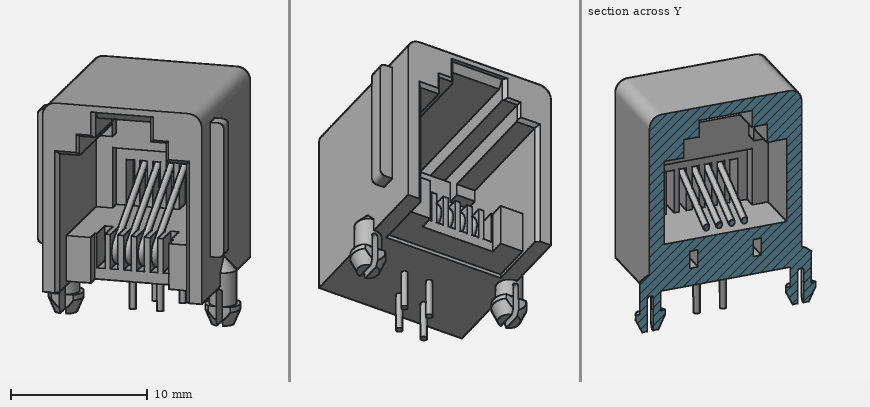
import cadquery as cq
import math


HOUSING_WIDTH = 12.15
HOUSING_DEPTH = 13.01
HOUSING_HEIGHT = 14.5
HOUSING_CORNER_RADIUS = 1.01

BODY_HALF_WIDTH, BODY_CEILING = 4.85, 10.57
SHOULDER_HALF_WIDTH, SHOULDER_CEILING = 3.31, 12.05
KEYWAY_HALF_WIDTH, KEYWAY_CEILING = 2.09, 13.4
BODY_LEAD_IN = 0.28
SHOULDER_LEAD_IN = 0.2
KEYWAY_LEAD_IN = 0.3

KEYWAY_MOUTH_CEILING = 14.02
KEYWAY_RAMP_LENGTH = 0.42

BACK_WALL_FRONT = 10.0
BACK_WALL_TOP = 11.38
RECESS_WIDTH = 7.17
RECESS_TOP = 8.43
RECESS_DEPTH = 1.0
STOP_BOTTOM = 9.58
STOP_FRONT = 9.01

BLOCK_FRONT = 2.05
BLOCK_TOP = 3.82
COMB_FRONT = 3.19
COMB_WIDTH = 5.96
UNDERCUT_HEIGHT = 0.34

SLOT_PITCH = 1.01
SLOT_BOTTOM = 1.2
SLOT_BACK = 5.27
SLOT_TOP_IN_WALL = 7.31
WIRE_SLOT_WIDTH = 0.57
SPARE_SLOT_WIDTH = 0.62
SPARE_WINDOW_BOTTOM = 1.47
SPARE_WINDOW_TOP = 2.81
WIRE_SLOT_END_WALL = 0.5

WIRE_COUNT = 4
WIRE_RADIUS = 0.25
WIRE_SLOPE = math.radians(27.5)
BEND_RADIUS = 0.85
BEND_CENTER_Y = 4.3
BEND_CENTER_Z = 2.42
WIRE_TIP_Y = 11.68
PIN_LENGTH = 3.2
PIN_ROWS = (8.28, 10.8)
PIN_OUTWARD_SHIFT = 0.04

RIB_SPAN = 14.2
RIB_FRONT = 2.28
RIB_THICKNESS = 1.22
RIB_BOTTOM = 3.01
RIB_TOP = 13.28
RIB_CORNER_RADIUS = 0.4

PEG_X = 5.98
PEG_Y = 5.98
PEG_RADIUS = 1.01
PEG_SHOULDER_Z = 1.01
PEG_APEX_Z = 2.15
HEAD_RADIUS = 1.31
HEAD_TOP_Z = -1.55
HEAD_RIM_Z = -1.96
HEAD_TIP_Z = -3.1
HEAD_TIP_RADIUS = 0.83
PEG_SLIT_WIDTH = 0.46
PEG_SLIT_TOP_Z = -0.25


def box(x_range, y_range, z_range):
    """Box given by its limits on each axis."""
    corner = (x_range[0], y_range[0], z_range[0])
    size = (x_range[1] - x_range[0], y_range[1] - y_range[0], z_range[1] - z_range[0])
    return cq.Workplane("XY").box(*size, centered=False).translate(corner)


def centered_box(x, width, y_range, z_range):
    """Box given by its middle and width on X and its limits on Y and Z."""
    return box((x - width / 2, x + width / 2), y_range, z_range)


def make_shell():
    shell = centered_box(0, HOUSING_WIDTH, (0, HOUSING_DEPTH), (0, HOUSING_HEIGHT))
    return shell.edges("|Y and >Z").fillet(HOUSING_CORNER_RADIUS)


def make_cavity_step(half_width, ceiling, lead_in):
    """One step of the cavity, open below, flared towards the mouth."""

    def rectangle(growth):
        x = half_width + growth
        z = ceiling + growth
        return [(-x, 0), (x, 0), (x, z), (-x, z)]

    flare = (
        cq.Workplane("XZ")
        .polyline(rectangle(lead_in))
        .close()
        .workplane(offset=-lead_in)
        .polyline(rectangle(0))
        .close()
        .loft(ruled=True)
    )
    bore = cq.Workplane("XZ").polyline(rectangle(0)).close().extrude(-HOUSING_DEPTH)
    return flare.union(bore)


def make_keyway():
    """Latch keyway: its sides flare at the mouth and its ceiling ramps down behind the flare."""
    keyway = centered_box(0, 2 * KEYWAY_HALF_WIDTH, (0, HOUSING_DEPTH), (0, KEYWAY_CEILING))
    mouth_plan = [
        (-KEYWAY_HALF_WIDTH - KEYWAY_LEAD_IN, 0),
        (KEYWAY_HALF_WIDTH + KEYWAY_LEAD_IN, 0),
        (KEYWAY_HALF_WIDTH, KEYWAY_LEAD_IN),
        (-KEYWAY_HALF_WIDTH, KEYWAY_LEAD_IN),
    ]
    mouth = cq.Workplane("XY").polyline(mouth_plan).close().extrude(KEYWAY_MOUTH_CEILING)
    ramp_profile = [
        (KEYWAY_LEAD_IN, 0),
        (KEYWAY_LEAD_IN, KEYWAY_MOUTH_CEILING),
        (KEYWAY_LEAD_IN + KEYWAY_RAMP_LENGTH, KEYWAY_CEILING),
        (KEYWAY_LEAD_IN + KEYWAY_RAMP_LENGTH, 0),
    ]
    ramp = (
        cq.Workplane("YZ").polyline(ramp_profile).close().extrude(KEYWAY_HALF_WIDTH, both=True)
    )
    return keyway.union(mouth).union(ramp)


def make_cavity():
    """Plug cavity through the whole housing."""
    body = make_cavity_step(BODY_HALF_WIDTH, BODY_CEILING, BODY_LEAD_IN)
    shoulder = make_cavity_step(SHOULDER_HALF_WIDTH, SHOULDER_CEILING, SHOULDER_LEAD_IN)
    return body.union(shoulder).union(make_keyway())


def make_back_wall():
    width = 2 * BODY_HALF_WIDTH
    wall = centered_box(0, width, (BACK_WALL_FRONT, HOUSING_DEPTH), (0, BODY_CEILING))
    neck = centered_box(
        0, 2 * SHOULDER_HALF_WIDTH, (BACK_WALL_FRONT, HOUSING_DEPTH), (0, BACK_WALL_TOP)
    )
    recess = centered_box(
        0, RECESS_WIDTH, (BACK_WALL_FRONT, BACK_WALL_FRONT + RECESS_DEPTH), (BLOCK_TOP, RECESS_TOP)
    )
    wall = wall.union(neck).cut(recess)
    for side in (-1, 1):
        x_range = sorted((side * SHOULDER_HALF_WIDTH, side * BODY_HALF_WIDTH))
        stop = box(x_range, (STOP_FRONT, BACK_WALL_FRONT), (STOP_BOTTOM, BODY_CEILING))
        wall = wall.union(stop)
    return wall


def make_contact_block():
    width = 2 * BODY_HALF_WIDTH
    block = centered_box(0, width, (BLOCK_FRONT, BACK_WALL_FRONT), (0, BLOCK_TOP))
    undercut = centered_box(0, width, (BLOCK_FRONT, SLOT_BACK), (0, UNDERCUT_HEIGHT))
    comb_pocket = centered_box(0, COMB_WIDTH, (BLOCK_FRONT, COMB_FRONT), (0, BLOCK_TOP))
    return block.cut(undercut).cut(comb_pocket)


def make_slot(x, width, wall_slot_back):
    """Slot in the comb plus the matching slot in the back wall above it."""
    comb_slot = centered_box(x, width, (COMB_FRONT, SLOT_BACK), (SLOT_BOTTOM, BLOCK_TOP))
    wall_slot = centered_box(
        x, width, (BACK_WALL_FRONT, wall_slot_back), (BLOCK_TOP, SLOT_TOP_IN_WALL)
    )
    return comb_slot.union(wall_slot)


def make_spare_slot(x):
    """Slot without a wire: it opens to the back, above and through the block."""
    window = centered_box(
        x, SPARE_SLOT_WIDTH, (SLOT_BACK, HOUSING_DEPTH), (SPARE_WINDOW_BOTTOM, SPARE_WINDOW_TOP)
    )
    return make_slot(x, SPARE_SLOT_WIDTH, HOUSING_DEPTH).union(window)


def make_contact(x, pin_y):
    """Sloping contact wire, hairpin bend, buried run to the back, and solder pin."""

    def on_bend(angle):
        return (
            BEND_CENTER_Y + BEND_RADIUS * math.cos(angle),
            BEND_CENTER_Z + BEND_RADIUS * math.sin(angle),
        )

    bend_start = on_bend(math.pi / 2 + WIRE_SLOPE)
    bend_front = on_bend(math.pi)
    bend_end = on_bend(3 * math.pi / 2)
    tip_z = bend_start[1] + (WIRE_TIP_Y - bend_start[0]) * math.tan(WIRE_SLOPE)
    path = (
        cq.Workplane("YZ", origin=(x, 0, 0))
        .moveTo(pin_y, bend_end[1])
        .lineTo(*bend_end)
        .threePointArc(bend_front, bend_start)
        .lineTo(WIRE_TIP_Y, tip_z)
    )
    wire = cq.Workplane("XZ", origin=(x, pin_y, bend_end[1])).circle(WIRE_RADIUS).sweep(path)
    pin_x = x + math.copysign(PIN_OUTWARD_SHIFT, x)
    pin = (
        cq.Workplane("XY", origin=(pin_x, pin_y, -PIN_LENGTH))
        .circle(WIRE_RADIUS)
        .extrude(PIN_LENGTH + bend_end[1])
    )
    return wire.union(pin)


def make_ribs():
    ribs = centered_box(
        0, RIB_SPAN, (RIB_FRONT, RIB_FRONT + RIB_THICKNESS), (RIB_BOTTOM, RIB_TOP)
    )
    return ribs.edges("|Y").fillet(RIB_CORNER_RADIUS)


def make_peg(x):
    """Pointed post with a split, flat-sided snap head."""
    post = (
        cq.Workplane("XZ")
        .polyline([
            (0, HEAD_TOP_Z),
            (PEG_RADIUS, HEAD_TOP_Z),
            (PEG_RADIUS, PEG_SHOULDER_Z),
            (0, PEG_APEX_Z),
        ])
        .close()
        .revolve(360, (0, 0), (0, 1))
    )
    head = (
        cq.Workplane("XZ")
        .polyline([
            (0, HEAD_TIP_Z),
            (HEAD_TIP_RADIUS, HEAD_TIP_Z),
            (HEAD_RADIUS, HEAD_RIM_Z),
            (HEAD_RADIUS, HEAD_TOP_Z),
            (0, HEAD_TOP_Z),
        ])
        .close()
        .revolve(360, (0, 0), (0, 1))
    )
    flats = box(
        (-HEAD_RADIUS, HEAD_RADIUS), (-PEG_RADIUS, PEG_RADIUS), (HEAD_TIP_Z, HEAD_TOP_Z)
    )
    slit_half_width = PEG_SLIT_WIDTH / 2
    slit_shoulder_z = PEG_SLIT_TOP_Z - slit_half_width
    slit = (
        cq.Workplane("XZ", origin=(0, PEG_RADIUS, 0))
        .moveTo(-slit_half_width, HEAD_TIP_Z)
        .lineTo(slit_half_width, HEAD_TIP_Z)
        .lineTo(slit_half_width, slit_shoulder_z)
        .threePointArc((0, PEG_SLIT_TOP_Z), (-slit_half_width, slit_shoulder_z))
        .close()
        .extrude(2 * PEG_RADIUS)
    )
    return post.union(head.intersect(flats)).cut(slit).translate((x, PEG_Y, 0))


housing = make_shell().union(make_ribs())
for side in (-1, 1):
    housing = housing.union(make_peg(side * PEG_X))
housing = housing.cut(make_cavity()).union(make_back_wall()).union(make_contact_block())

wire_positions = [(i - (WIRE_COUNT - 1) / 2) * SLOT_PITCH for i in range(WIRE_COUNT)]
for x in wire_positions:
    housing = housing.cut(make_slot(x, WIRE_SLOT_WIDTH, HOUSING_DEPTH - WIRE_SLOT_END_WALL))
for side in (-1, 1):
    housing = housing.cut(make_spare_slot(side * (wire_positions[-1] + SLOT_PITCH)))

result = housing
for i, x in enumerate(wire_positions):
    result = result.union(make_contact(x, PIN_ROWS[i % len(PIN_ROWS)]))